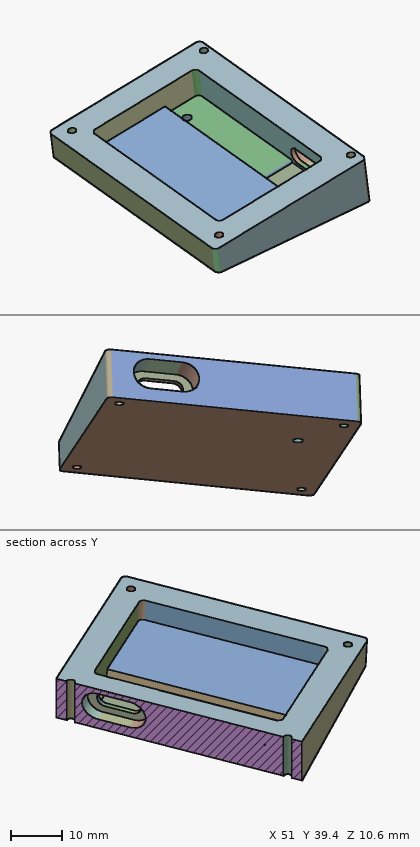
import cadquery as cq
import math

width = 51.05
depth = 39.35
rear_height = 10.6
tilt = 7.0
corner_radius = 1.0

rim = 5.95
platform_depth = 4.65
rear_floor_depth = 6.6
step_from_rear = 14.3

connector_x = 13.6
channel_width = 10.2
channel_depth = 0.55

opening_depth = 4.6
opening_length = 9.2
opening_height = 3.55
plug_recess_length = 13.1
plug_recess_height = 6.55
opening_wall = 1.0

screw_diameter = 1.65
screw_side_margin = 3.0
screw_end_margin = 2.75
floor_hole_diameter = 1.9
floor_hole_x = -15.7
floor_hole_from_rear = 12.15

sine = math.sin(math.radians(tilt))
cosine = math.cos(math.radians(tilt))
rear_lean = rear_height * sine / cosine
top_length = (depth - rear_lean) / cosine
front_height = rear_height - top_length * sine
front_lean = front_height * sine / cosine
base_length = depth - front_lean
blank_thickness = rear_height / cosine + top_length * sine
pocket_width = width - 2 * rim


def block_below(x_size, y_rear, y_front, z_top, z_bottom):
    """Box centred on X, between two distances behind and two depths below the rear top edge."""
    return (
        cq.Workplane("XY")
        .box(x_size, y_front - y_rear, z_bottom - z_top, centered=(True, False, False))
        .translate((0, -y_front, -z_bottom))
    )


def rear_slot(length, height, cut_depth):
    """Round-ended slot running forward from the rear face."""
    return (
        cq.Workplane("XZ", origin=(connector_x, 0, -opening_depth))
        .slot2D(length, height)
        .extrude(cut_depth)
    )


def pocket():
    rear = block_below(pocket_width, rim, step_from_rear, 0, rear_floor_depth)
    front = block_below(pocket_width, rim, top_length - rim, 0, platform_depth)
    return rear.union(front).edges("|Z and (<Y or >Y)").edges("<X or >X").fillet(corner_radius)


def connector_channel():
    """Channel whose long upper edges roll over into the rear floor."""
    half_width = channel_width / 2
    half_floor = half_width - channel_depth
    arc_middle_x = half_width - channel_depth * math.sqrt(0.5)
    arc_middle_z = channel_depth * (math.sqrt(0.5) - 1)
    profile = (
        cq.Workplane("XZ", origin=(connector_x, -rim, -rear_floor_depth))
        .moveTo(-half_floor, -channel_depth)
        .lineTo(half_floor, -channel_depth)
        .threePointArc((arc_middle_x, arc_middle_z), (half_width, 0))
        .lineTo(-half_width, 0)
        .threePointArc((-arc_middle_x, arc_middle_z), (-half_floor, -channel_depth))
        .close()
    )
    return profile.extrude(step_from_rear - rim)


def floor_hole():
    return (
        cq.Workplane("XY", origin=(floor_hole_x, -floor_hole_from_rear, -platform_depth))
        .circle(floor_hole_diameter / 2)
        .extrude(-blank_thickness)
    )


def tilted_body():
    """Case in the tilted frame: top face at Z = 0 and rear face at Y = 0."""
    blank = block_below(width, 0, top_length, 0, blank_thickness)
    return (
        blank.edges("|Z").fillet(corner_radius)
        .cut(pocket())
        .cut(connector_channel())
        .cut(rear_slot(opening_length, opening_height, rim + corner_radius))
        .cut(rear_slot(plug_recess_length, plug_recess_height, rim - opening_wall))
        .cut(floor_hole())
    )


base_rear_y = depth / 2
body = (
    tilted_body()
    .rotate((0, 0, 0), (1, 0, 0), tilt)
    .translate((0, base_rear_y - rear_lean, rear_height))
)
envelope = cq.Workplane("XY").box(2 * width, 2 * depth, rear_height, centered=(True, True, False))
body = body.intersect(envelope)

screw_holes = (
    cq.Workplane("XY", origin=(0, base_rear_y - base_length / 2, 0))
    .rect(width - 2 * screw_side_margin, base_length - 2 * screw_end_margin, forConstruction=True)
    .vertices()
    .circle(screw_diameter / 2)
    .extrude(rear_height)
)

result = body.cut(screw_holes)